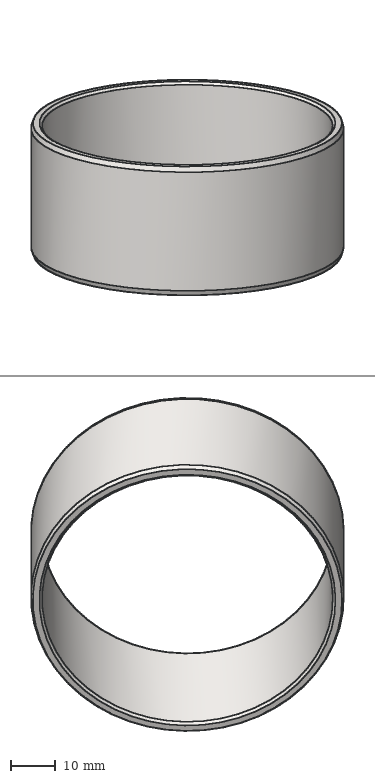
import cadquery as cq

outer_diameter = 70.0
inner_diameter = 65.0
height = 30.0
outer_chamfer_height = 1.2
outer_chamfer_depth = 0.4
bore_chamfer = 0.6

outer_radius = outer_diameter / 2
inner_radius = inner_diameter / 2
half_height = height / 2

outer_shoulder = half_height - outer_chamfer_height
bore_shoulder = half_height - bore_chamfer

section = [
    (inner_radius + bore_chamfer, -half_height),
    (outer_radius - outer_chamfer_depth, -half_height),
    (outer_radius, -outer_shoulder),
    (outer_radius, outer_shoulder),
    (outer_radius - outer_chamfer_depth, half_height),
    (inner_radius + bore_chamfer, half_height),
    (inner_radius, bore_shoulder),
    (inner_radius, -bore_shoulder),
]

result = (
    cq.Workplane("XZ")
    .polyline(section)
    .close()
    .revolve(360, (0, 0, 0), (0, 1, 0))
)